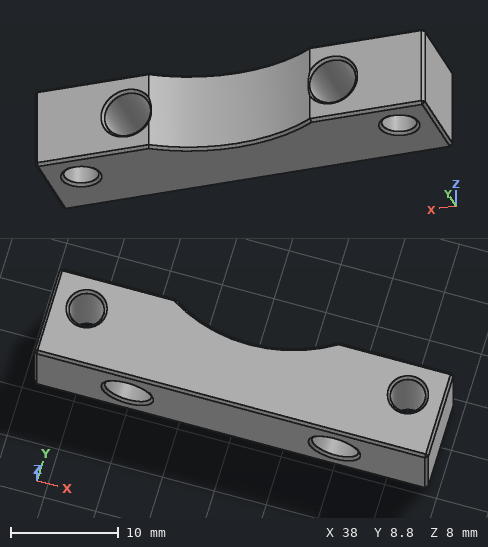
import cadquery as cq

length = 38.0
width = 8.8
height = 8.0
edge_chamfer = 0.25

relief_radius = 14.5
relief_depth = 2.3

cross_hole_diameter = 4.5
cross_hole_spacing = 20.0

end_hole_diameter = 3.25
end_hole_spacing = 31.0
end_hole_inset = 3.3


def chamfered_hole(diameter, depth):
    """Cutter along Z, centred on the origin, with both mouths flared."""
    radius = diameter / 2
    mouth_radius = radius + edge_chamfer
    half = depth / 2
    profile = [
        (0, -half),
        (mouth_radius, -half),
        (radius, -half + edge_chamfer),
        (radius, half - edge_chamfer),
        (mouth_radius, half),
        (0, half),
    ]
    return cq.Workplane("XZ").polyline(profile).close().revolve(360, (0, 0, 0), (0, 1, 0))


def relief_cutter():
    """Cylinder that scoops the +Y face, flared at the top and bottom faces."""
    centre_y = width / 2 - relief_depth + relief_radius
    return chamfered_hole(2 * relief_radius, height).translate((0, centre_y, 0))


result = cq.Workplane("XY").box(length, width, height).edges().chamfer(edge_chamfer)
result = result.cut(relief_cutter())

cross_hole = chamfered_hole(cross_hole_diameter, width).rotate((0, 0, 0), (1, 0, 0), 90)
end_hole = chamfered_hole(end_hole_diameter, height)
end_hole_y = width / 2 - end_hole_inset

for side in (-1, 1):
    result = result.cut(cross_hole.translate((side * cross_hole_spacing / 2, 0, 0)))
    result = result.cut(end_hole.translate((side * end_hole_spacing / 2, end_hole_y, 0)))